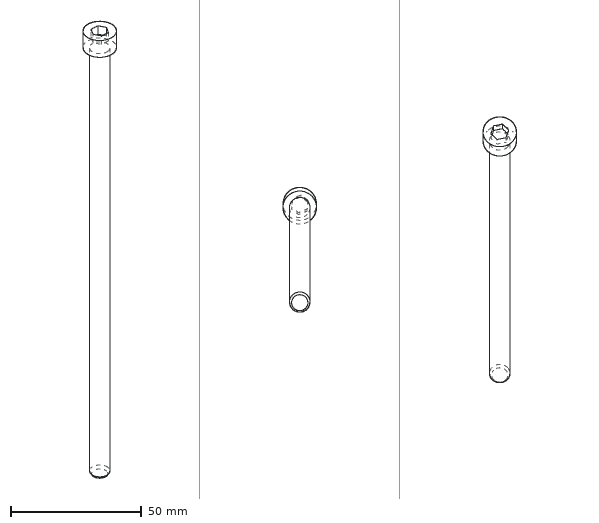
import cadquery as cq
import math

total_length = 208.0
head_diameter = 13.0
head_height = 8.0
shank_diameter = 8.0
tip_chamfer_height = 1.2
tip_chamfer_width = 0.8
socket_across_flats = 6.0
socket_depth = 4.0

shank_radius = shank_diameter / 2
tip_z = head_height - total_length


def make_body():
    """Revolve the half profile of head, plain shank and chamfered tip."""
    return (
        cq.Workplane("XZ")
        .moveTo(0, tip_z)
        .lineTo(shank_radius - tip_chamfer_width, tip_z)
        .lineTo(shank_radius, tip_z + tip_chamfer_height)
        .lineTo(shank_radius, 0)
        .lineTo(head_diameter / 2, 0)
        .lineTo(head_diameter / 2, head_height)
        .lineTo(0, head_height)
        .close()
        .revolve(360, (0, 0, 0), (0, 1, 0))
    )


def make_hex_socket():
    """Hexagonal key socket with two corners on the X axis."""
    across_corners = socket_across_flats / math.cos(math.pi / 6)
    return (
        cq.Workplane("XY")
        .workplane(offset=head_height - socket_depth)
        .polygon(6, across_corners)
        .extrude(socket_depth)
    )


result = make_body().cut(make_hex_socket())